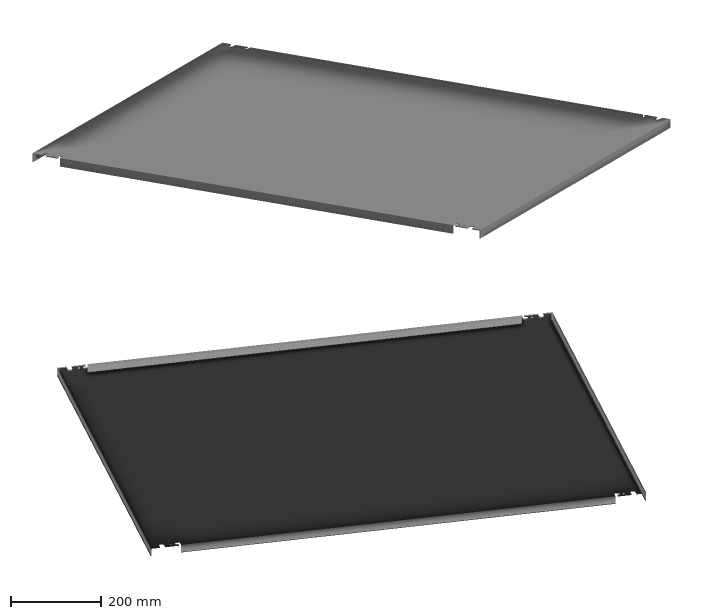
import cadquery as cq

length_x = 1130.0
width_y = 885.0
height = 20.0
sheet = 2.5

long_flange_length = 990.0

slot_width = 11.8
slot_depth = 16.1
slot_inset = 27.5

relief_width = 5.5
relief_depth = 14.9

hole_inset_y = 9.6
small_hole_diameter = 6.2
small_hole_inset_x = 48.3
large_hole_diameter = 10.4
large_hole_inset_x = 62.3

half_x = length_x / 2
half_y = width_y / 2


def block(size_x, size_y, size_z, x=0.0, y=0.0):
    """Box hanging down from Z = 0, centred on (x, y)."""
    return cq.Workplane("XY").center(x, y).rect(size_x, size_y).extrude(-size_z)


def cylinder(diameter, x, y):
    """Full-height cylinder hanging down from Z = 0."""
    return cq.Workplane("XY").center(x, y).circle(diameter / 2).extrude(-height)


def folded_panel():
    """Flat plate with a sharply folded flange hanging from each edge."""
    panel = block(length_x, width_y, sheet)
    for side in (-1, 1):
        flange_x = side * (half_x - sheet / 2)
        flange_y = side * (half_y - sheet / 2)
        panel = panel.union(block(sheet, width_y, height, x=flange_x))
        panel = panel.union(block(long_flange_length, sheet, height, y=flange_y))
    return panel


def edge_slot(side_x, side_y):
    """U slot open at the front or back edge."""
    x = side_x * (half_x - slot_inset)
    straight_depth = slot_depth - slot_width / 2
    straight = block(slot_width, straight_depth, height, x, side_y * (half_y - straight_depth / 2))
    return straight.union(cylinder(slot_width, x, side_y * (half_y - straight_depth)))


def bend_relief(side_x, side_y):
    """Notch that frees the end of a long flange from the flat corner."""
    x = side_x * (long_flange_length + relief_width) / 2
    y = side_y * (half_y - relief_depth / 2)
    return block(relief_width, relief_depth, height, x, y)


def corner_hole(diameter, inset_x, side_x, side_y):
    """Through hole in the plate near a corner."""
    return cylinder(diameter, side_x * (half_x - inset_x), side_y * (half_y - hole_inset_y))


result = folded_panel()
for side_x in (-1, 1):
    for side_y in (-1, 1):
        result = result.cut(edge_slot(side_x, side_y))
        result = result.cut(bend_relief(side_x, side_y))
        result = result.cut(corner_hole(small_hole_diameter, small_hole_inset_x, side_x, side_y))
        result = result.cut(corner_hole(large_hole_diameter, large_hole_inset_x, side_x, side_y))